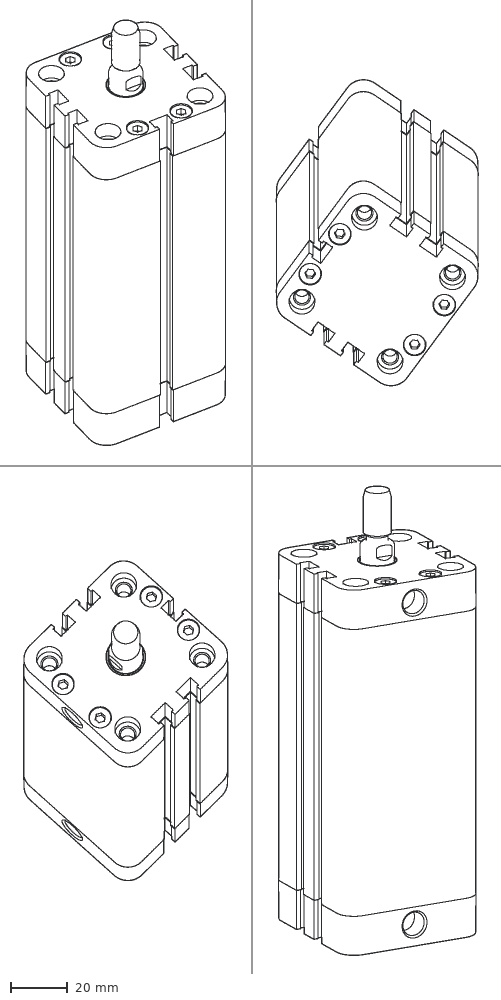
import cadquery as cq
import math

BODY_WIDTH = 54.7
TUBE_CORNER_RADIUS = 6.8
CAP_OUTER_CORNER_RADIUS = 7.0
CAP_INNER_CORNER_RADIUS = 6.6
TOTAL_HEIGHT = 161.0
BODY_HEIGHT = 135.0
CAP_HEIGHT = 14.5
TUBE_HEIGHT = BODY_HEIGHT - 2 * CAP_HEIGHT
TOP_CAP_BASE = CAP_HEIGHT + TUBE_HEIGHT
HALF_WIDTH = BODY_WIDTH / 2

SLOT_OFFSET = 6.5
SLOT_MOUTH = 5.2
SLOT_WIDTH = 6.8
SLOT_LIP = 2.0
SLOT_DEPTH = 5.3
CAP_SLOT_CLEARANCE = 0.24

MOUNT_OFFSET = 19.0
MOUNT_BORE = 9.0
MOUNT_BORE_DEPTH = 5.6
MOUNT_THREAD = 6.0
MOUNT_CORE = 5.0
MOUNT_CHAMFER = (MOUNT_THREAD - MOUNT_CORE) / 2

SCREW_X = 22.5
SCREW_Y = 9.0
SCREW_RECESS = 7.9
SCREW_RECESS_DEPTH = 4.0
SCREW_HEAD = 7.5
SCREW_SINK = 0.5
HEX_ACROSS_FLATS = 3.2
HEX_DEPTH = 2.4

PORT_BELOW_FACE = 8.0
PORT_DIAMETER = 8.5
PORT_MOUTH = 10.0
PORT_CHAMFER = (PORT_MOUTH - PORT_DIAMETER) / 2
PORT_FLOOR_DIAMETER = 40.0

ROD_DIAMETER = 12.0
ROD_THREAD = 10.0
ROD_TIP = 8.5
TIP_LENGTH = 2.7
THREAD_BOTTOM = 145.4
NECK_DIAMETER = 7.7
NECK_TAPER = 1.0
SHOULDER_TOP = 142.0
SHOULDER_ROUND = 1.3
NECK_FILLET = 0.5
FLAT_SPACING = 10.3
FLAT_BOTTOM = 137.8
RUN_OUT_ANGLE = 37.0
WIPER_MOUTH = 14.0
WIPER_FLOOR = 13.7
WIPER_DEPTH = 0.2
WIPER_BORE = 12.5
WIPER_BORE_DEPTH = 0.5


def t_slot(clearance, height):
    """T-slot cutter that opens toward +Y, with its mouth on the outer face."""
    mouth = SLOT_MOUTH / 2 + clearance
    inside = SLOT_WIDTH / 2 + clearance
    lip = HALF_WIDTH - SLOT_LIP + clearance
    floor = HALF_WIDTH - SLOT_DEPTH - clearance
    return (
        cq.Workplane("XY")
        .moveTo(-mouth, HALF_WIDTH)
        .lineTo(-mouth, lip)
        .lineTo(-inside, lip)
        .lineTo(-inside, floor)
        .lineTo(inside, floor)
        .lineTo(inside, lip)
        .lineTo(mouth, lip)
        .lineTo(mouth, HALF_WIDTH)
        .close()
        .extrude(height)
    )


def rounded_square(corner_radius):
    """Square outline of the body with the given corner radius."""
    return cq.Sketch().rect(BODY_WIDTH, BODY_WIDTH).vertices().fillet(corner_radius)


def slotted_block(height, clearance, bottom_radius, top_radius):
    """Rounded square block with all five T-slots running through its height.

    The corner radius runs evenly from bottom_radius to top_radius.
    """
    bottom = rounded_square(bottom_radius)
    top = rounded_square(top_radius).moved(cq.Location(cq.Vector(0, 0, height)))
    block = cq.Workplane("XY").placeSketch(bottom, top).loft(ruled=True)
    slot = t_slot(clearance, height)
    for side_angle in (0, 180):
        for offset in (-SLOT_OFFSET, SLOT_OFFSET):
            side_slot = slot.translate((offset, 0, 0)).rotate((0, 0, 0), (0, 0, 1), side_angle)
            block = block.cut(side_slot)
    return block.cut(slot.rotate((0, 0, 0), (0, 0, 1), -90))


def cap_face(depth=0.0):
    """Work plane parallel to the outer face of a cap, the given depth below it."""
    return cq.Workplane("XY", origin=(0, 0, CAP_HEIGHT - depth))


def mounting_holes():
    """Counterbored holes through the cap, each with a chamfered thread entry."""
    spacing = 2 * MOUNT_OFFSET
    bores = cap_face().rect(spacing, spacing, forConstruction=True).vertices()
    bores = bores.circle(MOUNT_BORE / 2).extrude(-MOUNT_BORE_DEPTH)
    cores = cap_face().rect(spacing, spacing, forConstruction=True).vertices()
    cores = cores.circle(MOUNT_CORE / 2).extrude(-CAP_HEIGHT)
    entry = cq.Solid.makeCone(
        MOUNT_THREAD / 2,
        MOUNT_CORE / 2,
        MOUNT_CHAMFER,
        pnt=cq.Vector(0, 0, CAP_HEIGHT - MOUNT_BORE_DEPTH),
        dir=cq.Vector(0, 0, -1),
    )
    holes = bores.union(cores)
    for x in (-MOUNT_OFFSET, MOUNT_OFFSET):
        for y in (-MOUNT_OFFSET, MOUNT_OFFSET):
            holes = holes.union(cq.Workplane(entry.translate(cq.Vector(x, y, 0))))
    return holes


def screw_recesses():
    """Space around and above each sunk screw head, including its hex socket."""
    hex_diameter = HEX_ACROSS_FLATS / math.cos(math.pi / 6)
    recess = cap_face().circle(SCREW_RECESS / 2).extrude(-SCREW_RECESS_DEPTH)
    head = cap_face(SCREW_SINK).circle(SCREW_HEAD / 2).extrude(SCREW_SINK - SCREW_RECESS_DEPTH)
    socket = cap_face(SCREW_SINK).polygon(6, hex_diameter).extrude(-HEX_DEPTH)
    socket = socket.rotate((0, 0, 0), (0, 0, 1), 30)
    recess = recess.cut(head).union(socket)
    recesses = cq.Workplane("XY")
    for x in (-SCREW_X, SCREW_X):
        for y in (-SCREW_Y, SCREW_Y):
            recesses = recesses.add(recess.translate((x, y, 0)))
    return recesses


def air_port():
    """Chamfered port cutter running inward from the -X face to its round floor."""
    port_height = CAP_HEIGHT - PORT_BELOW_FACE
    mouth = cq.Workplane("YZ", origin=(-HALF_WIDTH, 0, port_height))
    bore = mouth.circle(PORT_DIAMETER / 2).extrude(HALF_WIDTH)
    bore = bore.cut(cq.Workplane("XY").circle(PORT_FLOOR_DIAMETER / 2).extrude(CAP_HEIGHT))
    entry = cq.Solid.makeCone(
        PORT_MOUTH / 2,
        PORT_DIAMETER / 2,
        PORT_CHAMFER,
        pnt=cq.Vector(-HALF_WIDTH, 0, port_height),
        dir=cq.Vector(1, 0, 0),
    )
    return bore.union(cq.Workplane(entry))


def make_cap():
    """End cap with its inner face on Z = 0 and its outer face up."""
    cap = slotted_block(
        CAP_HEIGHT,
        CAP_SLOT_CLEARANCE,
        CAP_INNER_CORNER_RADIUS,
        CAP_OUTER_CORNER_RADIUS,
    )
    cap = cap.cut(mounting_holes())
    for recess in screw_recesses().vals():
        cap = cap.cut(cq.Workplane(recess))
    return cap.cut(air_port())


def make_tube():
    """Slotted tube profile standing between the two caps."""
    tube = slotted_block(TUBE_HEIGHT, 0, TUBE_CORNER_RADIUS, TUBE_CORNER_RADIUS)
    return tube.translate((0, 0, CAP_HEIGHT))


def rod_passage():
    """Rod hole through the cap with a tapered wiper recess at the outer face."""
    return (
        cq.Workplane("XZ")
        .moveTo(0, 0)
        .lineTo(ROD_DIAMETER / 2, 0)
        .lineTo(ROD_DIAMETER / 2, CAP_HEIGHT - WIPER_BORE_DEPTH)
        .lineTo(WIPER_BORE / 2, CAP_HEIGHT - WIPER_BORE_DEPTH)
        .lineTo(WIPER_BORE / 2, CAP_HEIGHT - WIPER_DEPTH)
        .lineTo(WIPER_FLOOR / 2, CAP_HEIGHT - WIPER_DEPTH)
        .lineTo(WIPER_MOUTH / 2, CAP_HEIGHT)
        .lineTo(0, CAP_HEIGHT)
        .close()
        .revolve(360, (0, 0, 0), (0, 1, 0))
    )


def wrench_flat(side):
    """Cutter for one wrench flat up to the shoulder, with a sloped run-out at its lower end."""
    flat = side * FLAT_SPACING / 2
    rim = side * ROD_DIAMETER / 2
    flat_depth = (ROD_DIAMETER - FLAT_SPACING) / 2
    run_out = flat_depth / math.tan(math.radians(RUN_OUT_ANGLE))
    return (
        cq.Workplane("XZ")
        .moveTo(flat, SHOULDER_TOP)
        .lineTo(flat, FLAT_BOTTOM)
        .lineTo(rim, FLAT_BOTTOM - run_out)
        .lineTo(rim, SHOULDER_TOP)
        .close()
        .extrude(ROD_DIAMETER / 2, both=True)
    )


def make_rod():
    """Rod resting on the tube, with wrench flats, a neck and a threaded end."""
    rod = (
        cq.Workplane("XZ")
        .moveTo(0, TOP_CAP_BASE)
        .lineTo(ROD_DIAMETER / 2, TOP_CAP_BASE)
        .lineTo(ROD_DIAMETER / 2, SHOULDER_TOP - SHOULDER_ROUND)
        .radiusArc((ROD_DIAMETER / 2 - SHOULDER_ROUND, SHOULDER_TOP), -SHOULDER_ROUND)
        .lineTo(NECK_DIAMETER / 2 + NECK_FILLET, SHOULDER_TOP)
        .radiusArc((NECK_DIAMETER / 2, SHOULDER_TOP + NECK_FILLET), NECK_FILLET)
        .lineTo(NECK_DIAMETER / 2, THREAD_BOTTOM - NECK_TAPER)
        .lineTo(ROD_THREAD / 2, THREAD_BOTTOM)
        .lineTo(ROD_THREAD / 2, TOTAL_HEIGHT - TIP_LENGTH)
        .lineTo(ROD_TIP / 2, TOTAL_HEIGHT)
        .lineTo(0, TOTAL_HEIGHT)
        .close()
        .revolve(360, (0, 0, 0), (0, 1, 0))
    )
    return rod.cut(wrench_flat(-1)).cut(wrench_flat(1))


cap = make_cap()
top_cap = cap.cut(rod_passage()).translate((0, 0, TOP_CAP_BASE))
bottom_cap = cap.mirror("XY").translate((0, 0, CAP_HEIGHT))
tube = make_tube()
rod = make_rod()

bodies = [top_cap, bottom_cap, tube, rod]
result = cq.Compound.makeCompound([body.solids().val() for body in bodies])